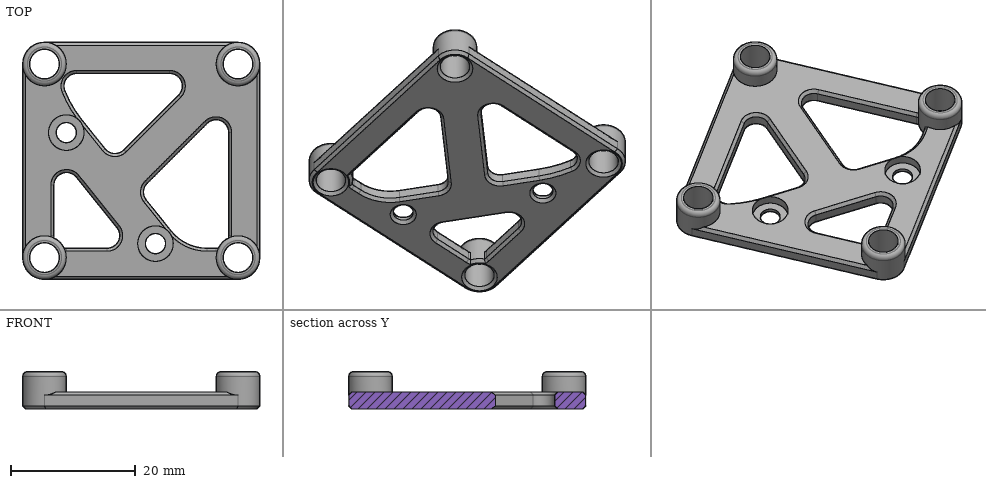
import cadquery as cq
import math

side = 38.0
total_height = 6.0
plate_height = 2.75
edge_chamfer = 0.5

post_diameter = 7.0
post_bore = 4.7
post_top_round = 0.75
post_radius = post_diameter / 2
post_offset = side / 2 - post_radius

screw_a = (-12.0, 4.52)
screw_b = (2.28, -13.25)
screw_diameter = 3.2
head_diameter = 5.7
head_depth = 1.6

frame_width = 5.0
rib_half_width = 3.23
window_corner_radius = 2.0
upper_bulge_radius = 18.25
window_edge = side / 2 - frame_width

screw_spacing = math.hypot(screw_b[0] - screw_a[0], screw_b[1] - screw_a[1])
along = ((screw_b[0] - screw_a[0]) / screw_spacing, (screw_b[1] - screw_a[1]) / screw_spacing)
normal = (-along[1], along[0])

diagonal_rise = rib_half_width * math.sqrt(2)


def beside_screw(screw, distance):
    """Point at a signed distance from a screw centre, square to the line of screws."""
    return (screw[0] + distance * normal[0], screw[1] + distance * normal[1])


def rib_point_at_x(distance, x):
    """Point with the given x on the line parallel to the screws at a signed distance."""
    start = beside_screw(screw_a, distance)
    return (x, start[1] + (x - start[0]) * along[1] / along[0])


def rib_point_at_y(distance, y):
    """Point with the given y on the line parallel to the screws at a signed distance."""
    start = beside_screw(screw_a, distance)
    return (start[0] + (y - start[1]) * along[0] / along[1], y)


def rib_meets_diagonal(rise):
    """Crossing of the screw rib's upper side with the line y = x + rise."""
    start = beside_screw(screw_a, rib_half_width)
    step = (start[0] + rise - start[1]) / (along[1] - along[0])
    return (start[0] + step * along[0], start[1] + step * along[1])


def point_on_circle(centre, radius, angle):
    return (centre[0] + radius * math.cos(angle), centre[1] + radius * math.sin(angle))


def window_cutter(outline):
    """Through cutter with rounded corners."""
    rounded = outline.offset2D(-window_corner_radius).offset2D(window_corner_radius)
    return rounded.extrude(plate_height)


def upper_window():
    bulge_start = beside_screw(screw_a, rib_half_width)
    centre = beside_screw(screw_a, rib_half_width + upper_bulge_radius)
    start_angle = math.atan2(-normal[1], -normal[0])
    end_angle = -math.pi - math.asin((window_edge - centre[1]) / upper_bulge_radius)
    bulge_middle = point_on_circle(centre, upper_bulge_radius, (start_angle + end_angle) / 2)
    bulge_end = point_on_circle(centre, upper_bulge_radius, end_angle)
    outline = (
        cq.Workplane("XY")
        .moveTo(*bulge_start)
        .threePointArc(bulge_middle, bulge_end)
        .lineTo(window_edge - diagonal_rise, window_edge)
        .lineTo(*rib_meets_diagonal(diagonal_rise))
        .close()
    )
    return window_cutter(outline)


def right_window():
    bulge_start = beside_screw(screw_b, rib_half_width)
    bulge_radius = (bulge_start[1] + window_edge) / (1 - normal[1])
    centre = beside_screw(screw_b, rib_half_width + bulge_radius)
    start_angle = math.atan2(-normal[1], -normal[0])
    end_angle = -math.pi / 2
    bulge_middle = point_on_circle(centre, bulge_radius, (start_angle + end_angle) / 2)
    outline = (
        cq.Workplane("XY")
        .moveTo(*bulge_start)
        .threePointArc(bulge_middle, (centre[0], -window_edge))
        .lineTo(window_edge, -window_edge)
        .lineTo(window_edge, window_edge - diagonal_rise)
        .lineTo(*rib_meets_diagonal(-diagonal_rise))
        .close()
    )
    return window_cutter(outline)


def lower_window():
    outline = cq.Workplane("XY").polyline([
        (-window_edge, -window_edge),
        rib_point_at_y(-rib_half_width, -window_edge),
        rib_point_at_x(-rib_half_width, -window_edge),
    ]).close()
    return window_cutter(outline)


def frame_plate():
    plate = cq.Workplane("XY").rect(side, side).extrude(plate_height)
    plate = plate.edges("|Z").chamfer(post_radius)
    for cutter in (upper_window(), right_window(), lower_window()):
        plate = plate.cut(cutter)
    return plate.faces("<Z or >Z").edges().chamfer(edge_chamfer)


def at_post_centres():
    corners = cq.Workplane("XY").rect(2 * post_offset, 2 * post_offset, forConstruction=True)
    return corners.vertices()


def at_screw_centres(height):
    return cq.Workplane("XY", origin=(0, 0, height)).pushPoints([screw_a, screw_b])


def corner_posts():
    posts = at_post_centres().circle(post_radius).extrude(total_height)
    posts = posts.faces("<Z").edges().chamfer(edge_chamfer)
    return posts.faces(">Z").edges().fillet(post_top_round)


def bottom_flared_cutter(diameter, height):
    """Cylinder on the Z axis that widens at its lower end to chamfer the hole's bottom rim."""
    radius = diameter / 2
    rim_radius = radius + edge_chamfer
    profile = cq.Workplane("XZ").polyline([
        (0, 0),
        (rim_radius, 0),
        (radius, edge_chamfer),
        (radius, height),
        (0, height),
    ]).close()
    return profile.revolve(360, (0, 0, 0), (0, 1, 0))


def corner_bores():
    bore = bottom_flared_cutter(post_bore, total_height).val()
    return at_post_centres().eachpoint(lambda place: bore.moved(place))


def screw_holes():
    shank = bottom_flared_cutter(screw_diameter, plate_height).val()
    shanks = at_screw_centres(0).eachpoint(lambda place: shank.moved(place))
    heads = at_screw_centres(plate_height - head_depth).circle(head_diameter / 2).extrude(head_depth)
    return shanks.union(heads)


body = frame_plate().union(corner_posts()).cut(corner_bores()).cut(screw_holes())
result = body.solids()